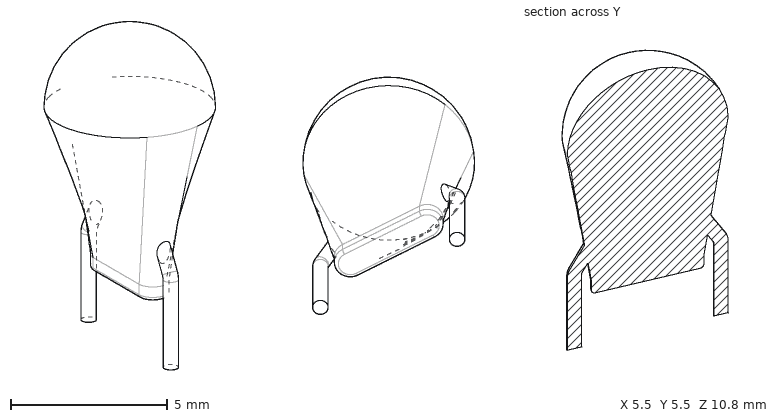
import cadquery as cq
import math

total_height = 10.85
ball_diameter = 5.5
base_length = 3.84
base_width = 1.03
base_bottom = 2.1
base_top = 2.59
base_fillet = 0.13
lead_diameter = 0.5
lead_straight = 3.01
lead_bend_radius = 0.4
lead_bend_angle = 30.0
lead_slant_length = 1.95

ball_radius = ball_diameter / 2
equator_z = total_height - ball_radius
base_end_radius = base_width / 2
base_flat_half = base_length / 2 - base_end_radius
lead_x = ball_radius - lead_diameter / 2


def outline_with_four_edges(corner_x, corner_y, side_x, front_y, z):
    """Closed wire with rounded ends in X and straight or bulged sides in Y."""
    outline = cq.Workplane("XY", origin=(0, 0, z)).moveTo(corner_x, -corner_y)
    outline = outline.threePointArc((side_x, 0), (corner_x, corner_y))
    if front_y > corner_y:
        outline = outline.threePointArc((0, front_y), (-corner_x, corner_y))
    else:
        outline = outline.lineTo(-corner_x, corner_y)
    outline = outline.threePointArc((-side_x, 0), (-corner_x, -corner_y))
    if front_y > corner_y:
        outline = outline.threePointArc((0, -front_y), (corner_x, -corner_y))
    return outline.close().wire().val()


def make_base():
    """Rounded-end foot with its lower rim filleted."""
    foot = cq.Workplane("XY", origin=(0, 0, base_bottom)).slot2D(base_length, base_width)
    return foot.extrude(base_top - base_bottom).faces("<Z").edges().fillet(base_fillet)


def make_taper():
    """Ruled transition from the rounded-end foot to the ball's equator."""
    corner_angle = math.atan2(base_end_radius, base_flat_half)
    lower = outline_with_four_edges(
        base_flat_half, base_end_radius, base_length / 2, base_end_radius, base_top
    )
    upper = outline_with_four_edges(
        ball_radius * math.cos(corner_angle),
        ball_radius * math.sin(corner_angle),
        ball_radius,
        ball_radius,
        equator_z,
    )
    return cq.Workplane(cq.Solid.makeLoft([lower, upper], True))


def make_dome():
    """Upper half of the ball."""
    profile = cq.Workplane("XZ", origin=(0, 0, equator_z)).lineTo(ball_radius, 0)
    quarter = ball_radius * math.sqrt(0.5)
    profile = profile.threePointArc((quarter, quarter), (0, ball_radius)).close()
    return profile.revolve(360, (0, 0, 0), (0, 1, 0))


def make_lead(side):
    """Round lead that rises straight, bends inward and enters the body."""
    angle = math.radians(lead_bend_angle)

    def bend_point(turn):
        inward = lead_bend_radius * (1 - math.cos(turn))
        rise = lead_bend_radius * math.sin(turn)
        return side * (lead_x - inward), lead_straight + rise

    bend_end = bend_point(angle)
    slant_end = (
        bend_end[0] - side * lead_slant_length * math.sin(angle),
        bend_end[1] + lead_slant_length * math.cos(angle),
    )
    path = cq.Workplane("XZ").moveTo(side * lead_x, 0).lineTo(side * lead_x, lead_straight)
    path = path.threePointArc(bend_point(angle / 2), bend_end).lineTo(*slant_end)
    section = cq.Workplane("XY").center(side * lead_x, 0).circle(lead_diameter / 2)
    return section.sweep(path)


result = make_base().union(make_taper()).union(make_dome())
for lead_side in (-1, 1):
    result = result.union(make_lead(lead_side))